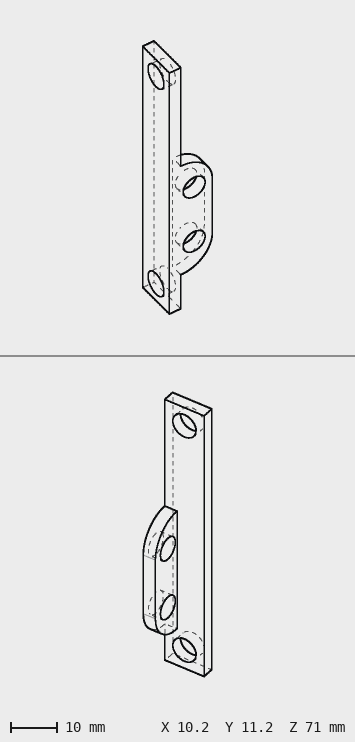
import cadquery as cq

plate_width = 10.2
plate_height = 71.0
plate_thickness = 3.0
plate_hole_diameter = 6.0
plate_hole_spacing = 61.05

total_depth = 11.2
tab_thickness = 3.2
tab_height = 32.0
tab_center_z = 26.0
tab_corner_radius = 8.0
tab_hole_diameter = 5.7
tab_hole_spacing = 16.0
tab_hole_y = 6.45


def make_plate():
    """Upright plate with a through hole near each end."""
    plate = cq.Workplane("XY").box(
        plate_width, plate_thickness, plate_height, centered=(True, False, False)
    )
    holes = (
        cq.Workplane("XZ", origin=(0, 0, plate_height / 2))
        .rarray(0.7, plate_hole_spacing, 1, 2)
        .circle(plate_hole_diameter / 2)
        .extrude(-plate_thickness)
    )
    return plate.cut(holes)


def make_tab():
    """Rear tab with rounded outer corners and two cross holes."""
    inner_x = plate_width / 2 - tab_thickness
    tab_depth = total_depth - plate_thickness
    tab = (
        cq.Workplane("YZ", origin=(inner_x, plate_thickness + tab_depth / 2, tab_center_z))
        .rect(tab_depth, tab_height)
        .extrude(tab_thickness)
        .edges("|X and >Y")
        .fillet(tab_corner_radius)
    )
    holes = (
        cq.Workplane("YZ", origin=(inner_x, tab_hole_y, tab_center_z))
        .rarray(0.7, tab_hole_spacing, 1, 2)
        .circle(tab_hole_diameter / 2)
        .extrude(tab_thickness)
    )
    return tab.cut(holes)


result = make_plate().union(make_tab())